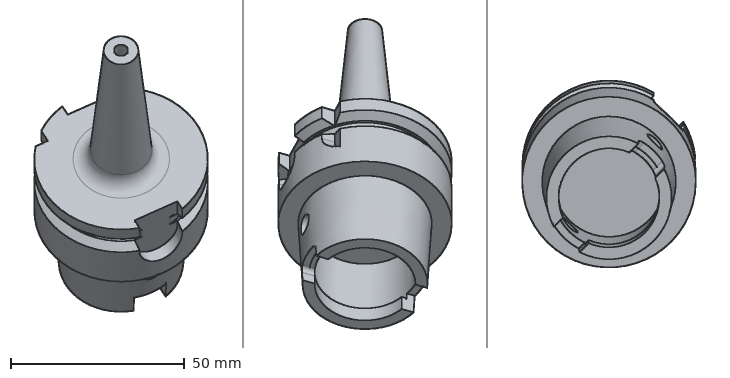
import cadquery as cq
import math


shank_length = 25.0
shank_top_radius = 19.25
shank_end_radius = 18.0
shank_mouth_diameter = 29.0
shank_mouth_depth = 5.0
shank_bore_diameter = 32.0
cross_hole_diameter = 6.0
cross_hole_z = -7.5
key_width = 10.5
left_key_height = 4.75
left_key_corner_radius = 1.5
right_key_height = 7.0

flange_radius = 25.0
flange_height = 26.0
groove_root_radius = 21.5
groove_center_z = 18.0
groove_root_width = 3.5
groove_mouth_width = 6.7
groove_flank_angle = math.radians(30)

slot_floor_x = 21.0
slot_bottom_z = 7.0
left_slot_width = 12.0
right_slot_width = 14.0
notch_floor_x = -15.6
notch_wall_y = -15.5
notch_width = left_slot_width

nose_top_z = 80.0
nose_tip_radius = 5.0
nose_half_angle = math.radians(4.5)
nose_fillet_radius = 5.0
tool_bore_diameter = 4.0
tool_bore_depth = 20.0


def make_body():
    """Turned body: half profile (radius, z) revolved about Z, with the nose fillet included."""
    fillet_center_z = flange_height + nose_fillet_radius
    cone_end_z = fillet_center_z - nose_fillet_radius * math.sin(nose_half_angle)
    cone_end_radius = nose_tip_radius + (nose_top_z - cone_end_z) * math.tan(nose_half_angle)
    fillet_center_radius = cone_end_radius + nose_fillet_radius * math.cos(nose_half_angle)
    mid_angle = (math.pi / 2 + nose_half_angle) / 2
    fillet_mid = (
        fillet_center_radius - nose_fillet_radius * math.sin(mid_angle),
        fillet_center_z - nose_fillet_radius * math.cos(mid_angle),
    )
    half_root = groove_root_width / 2
    half_mouth = groove_mouth_width / 2
    flank_foot_radius = flange_radius - (half_mouth - half_root) / math.tan(groove_flank_angle)
    profile = (
        cq.Workplane("XZ")
        .moveTo(0, -shank_length)
        .lineTo(shank_end_radius, -shank_length)
        .lineTo(shank_top_radius, 0)
        .lineTo(flange_radius, 0)
        .lineTo(flange_radius, groove_center_z - half_mouth)
        .lineTo(flank_foot_radius, groove_center_z - half_root)
        .lineTo(groove_root_radius, groove_center_z - half_root)
        .lineTo(groove_root_radius, groove_center_z + half_root)
        .lineTo(flank_foot_radius, groove_center_z + half_root)
        .lineTo(flange_radius, groove_center_z + half_mouth)
        .lineTo(flange_radius, flange_height)
        .lineTo(fillet_center_radius, flange_height)
        .threePointArc(fillet_mid, (cone_end_radius, cone_end_z))
        .lineTo(nose_tip_radius, nose_top_z)
        .lineTo(0, nose_top_z)
        .close()
    )
    return profile.revolve(360, (0, 0, 0), (0, 1, 0))


def rim_slot(width, center_y, bottom_z, x_start, x_end):
    """Cutter for a round-bottomed slot, open at the flange top and running along X."""
    radius = width / 2
    wall_height = flange_height - bottom_z - radius
    return (
        cq.Workplane("YZ", origin=(x_start, center_y, bottom_z + radius))
        .moveTo(-radius, wall_height)
        .lineTo(-radius, 0)
        .threePointArc((0, -radius), (radius, 0))
        .lineTo(radius, wall_height)
        .close()
        .extrude(x_end - x_start)
    )


def drive_key(height, side):
    """Cutter for a drive keyway in the shank end; side is -1 for -X and +1 for +X."""
    return (
        cq.Workplane("XY", origin=(side * flange_radius / 2, 0, -shank_length))
        .rect(flange_radius, key_width)
        .extrude(height)
    )


def cut_shank(body):
    """Hollow the shank behind its narrower mouth, then add its cross hole and drive keyways."""
    mouth = (
        cq.Workplane("XY", origin=(0, 0, -shank_length))
        .circle(shank_mouth_diameter / 2)
        .extrude(shank_mouth_depth)
    )
    bore = (
        cq.Workplane("XY", origin=(0, 0, shank_mouth_depth - shank_length))
        .circle(shank_bore_diameter / 2)
        .extrude(shank_length - shank_mouth_depth)
    )
    cross_hole = (
        cq.Workplane("YZ", origin=(0, 0, cross_hole_z))
        .circle(cross_hole_diameter / 2)
        .extrude(flange_radius, both=True)
    )
    body = body.cut(mouth).cut(bore).cut(cross_hole)
    left_key = drive_key(left_key_height, -1).edges("|X and >Z").fillet(left_key_corner_radius)
    right_key = drive_key(right_key_height, 1)
    return body.cut(left_key).cut(right_key)


def cut_flange(body):
    """Cut the two opposite rim slots and the corner notch."""
    left_slot = rim_slot(left_slot_width, 0, slot_bottom_z, -flange_radius, -slot_floor_x)
    right_slot = rim_slot(right_slot_width, 0, slot_bottom_z, slot_floor_x, flange_radius)
    notch_center_y = notch_wall_y - notch_width / 2
    notch = rim_slot(notch_width, notch_center_y, slot_bottom_z, -flange_radius, notch_floor_x)
    return body.cut(left_slot).cut(right_slot).cut(notch)


def cut_tool_bore(body):
    """Blind tool bore in the nose tip."""
    bore = (
        cq.Workplane("XY", origin=(0, 0, nose_top_z - tool_bore_depth))
        .circle(tool_bore_diameter / 2)
        .extrude(tool_bore_depth)
    )
    return body.cut(bore)


result = cut_tool_bore(cut_flange(cut_shank(make_body())))